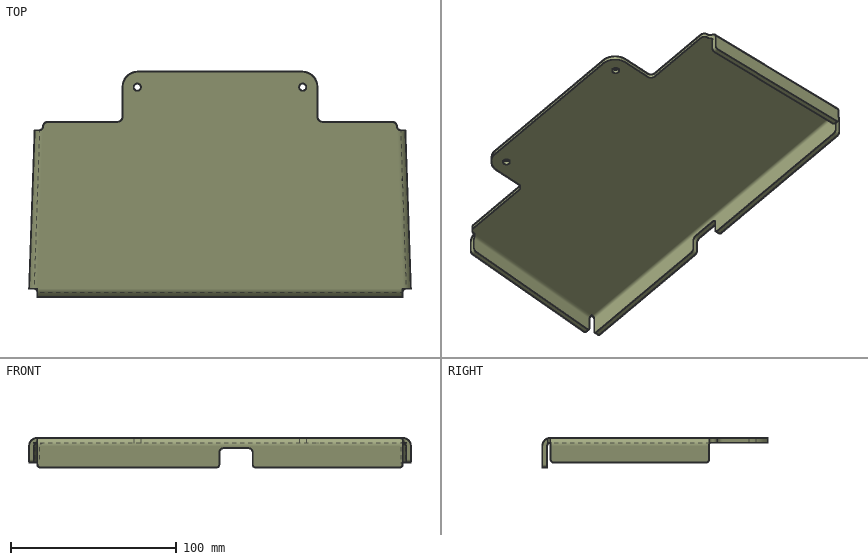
import cadquery as cq
import math

thickness = 3.0
outer_bend_radius = 5.0
inner_bend_radius = outer_bend_radius - thickness
flange_corner_radius = 2.0
relief_radius = 2.0

side_taper = 2.0
front_half_width = 110.5
panel_depth = 101.0
panel_corner_radius = 3.0

tab_width = 118.0
tab_back = 131.42
tab_corner_radius = 9.5
tab_root_radius = 3.0
hole_diameter = 4.2
hole_spacing = 100.0
hole_edge_distance = tab_corner_radius

side_flange_length = 96.0
side_flange_height = 15.0

front_flange_height = 18.07

notch_left = -0.3
notch_width = 20.0
notch_top = -6.3
notch_corner_radius = 2.5


def panel_half_width(y):
    """Half the panel width at depth y."""
    return front_half_width - y * math.tan(math.radians(side_taper))


def flat_panel():
    """Tapered panel with the narrower rear tab and its mounting holes."""
    half_tab = tab_width / 2
    half_back = panel_half_width(panel_depth)
    outline = [
        (-front_half_width, 0),
        (front_half_width, 0),
        (half_back, panel_depth),
        (half_tab, panel_depth),
        (half_tab, tab_back),
        (-half_tab, tab_back),
        (-half_tab, panel_depth),
        (-half_back, panel_depth),
    ]
    panel = cq.Workplane("XY").polyline(outline).close().extrude(-thickness)
    rounded_corners = [
        (half_back, panel_depth, panel_corner_radius),
        (half_tab, panel_depth, tab_root_radius),
        (half_tab, tab_back, tab_corner_radius),
    ]
    for x, y, radius in rounded_corners:
        for side in (-1, 1):
            corner = cq.selectors.NearestToPointSelector((side * x, y, -thickness / 2))
            panel = panel.edges("|Z").edges(corner).fillet(radius)
    half_spacing = hole_spacing / 2
    hole_y = tab_back - hole_edge_distance
    holes = (
        cq.Workplane("XY")
        .pushPoints([(-half_spacing, hole_y), (half_spacing, hole_y)])
        .circle(hole_diameter / 2)
        .extrude(-thickness)
    )
    return panel.cut(holes)


def bent_profile(plane, height):
    """Closed section of a 90 degree bend and its straight leg.

    The plane's local x points away from the panel and its local y points up.
    """
    half_bend = math.sin(math.radians(45))

    def middle_of_bend(radius):
        return (radius * half_bend, radius * half_bend - outer_bend_radius)

    return (
        cq.Workplane(plane)
        .moveTo(0, 0)
        .threePointArc(middle_of_bend(outer_bend_radius), (outer_bend_radius, -outer_bend_radius))
        .lineTo(outer_bend_radius, -height)
        .lineTo(inner_bend_radius, -height)
        .lineTo(inner_bend_radius, -outer_bend_radius)
        .threePointArc(middle_of_bend(inner_bend_radius), (0, -thickness))
        .close()
    )


def right_strip():
    """Bent strip along the right tapered edge, longer than the flange at both ends."""
    taper = math.radians(side_taper)
    plane = cq.Plane(
        origin=(front_half_width, 0, 0),
        xDir=(math.cos(taper), math.sin(taper), 0),
        normal=(math.sin(taper), -math.cos(taper), 0),
    )
    reach = side_flange_length + tab_back
    return bent_profile(plane, side_flange_height).extrude(reach, both=True)


def front_strip(half_width):
    """Bent strip along the front edge."""
    plane = cq.Plane(origin=(half_width, 0, 0), xDir=(0, -1, 0), normal=(-1, 0, 0))
    return bent_profile(plane, front_flange_height).extrude(2 * half_width)


def round_lower_corners(flange):
    """Round the through-thickness edges at the bottom of a flange."""
    shortest = cq.selectors.LengthNthSelector(0)
    return flange.faces("<Z").edges(shortest).fillet(flange_corner_radius)


def right_flange():
    """Right strip cut square to the Y axis at both ends."""
    length_limit = cq.Workplane("XY").box(
        4 * front_half_width, side_flange_length, 4 * side_flange_height, centered=(True, False, True)
    )
    return round_lower_corners(right_strip().intersect(length_limit))


def front_flange():
    """Front strip with an open notch in its lower edge."""
    cutter_reach = 2 * outer_bend_radius
    notch = (
        cq.Workplane("XY")
        .box(notch_width, cutter_reach, front_flange_height, centered=(False, True, False))
        .edges("|Y and >Z")
        .fillet(notch_corner_radius)
        .translate((notch_left, -outer_bend_radius, notch_top - front_flange_height))
    )
    return round_lower_corners(front_strip(front_half_width).cut(notch))


def concave_wedge(corner, along_panel):
    """Upright wedge that rounds a concave corner between a flange end and the panel edge.

    It runs outwards in X along the flange end and by along_panel (a unit vector) from the corner.
    """
    to_arc_middle = relief_radius * (1 - math.sin(math.radians(45)))
    x, y = corner
    step_x, step_y = along_panel
    return (
        cq.Workplane("XY")
        .moveTo(x, y)
        .lineTo(x + relief_radius, y)
        .threePointArc(
            (x + to_arc_middle * (1 + step_x), y + to_arc_middle * step_y),
            (x + relief_radius * step_x, y + relief_radius * step_y),
        )
        .close()
        .extrude(-outer_bend_radius)
    )


def front_right_relief():
    """Rounded corner between the right and front bends, following both bends."""
    wedge = concave_wedge((front_half_width, 0), (0, -1))
    wide_front = front_strip(front_half_width + relief_radius)
    return wedge.intersect(wide_front).intersect(right_strip())


def rear_right_relief():
    """Rounded corner between the rear end of the right bend and the panel edge."""
    taper = math.radians(side_taper)
    corner = (panel_half_width(side_flange_length), side_flange_length)
    wedge = concave_wedge(corner, (-math.sin(taper), math.cos(taper)))
    return wedge.intersect(right_strip())


right_side = right_flange().union(front_right_relief()).union(rear_right_relief())
result = (
    flat_panel()
    .union(right_side)
    .union(right_side.mirror("YZ"))
    .union(front_flange())
)